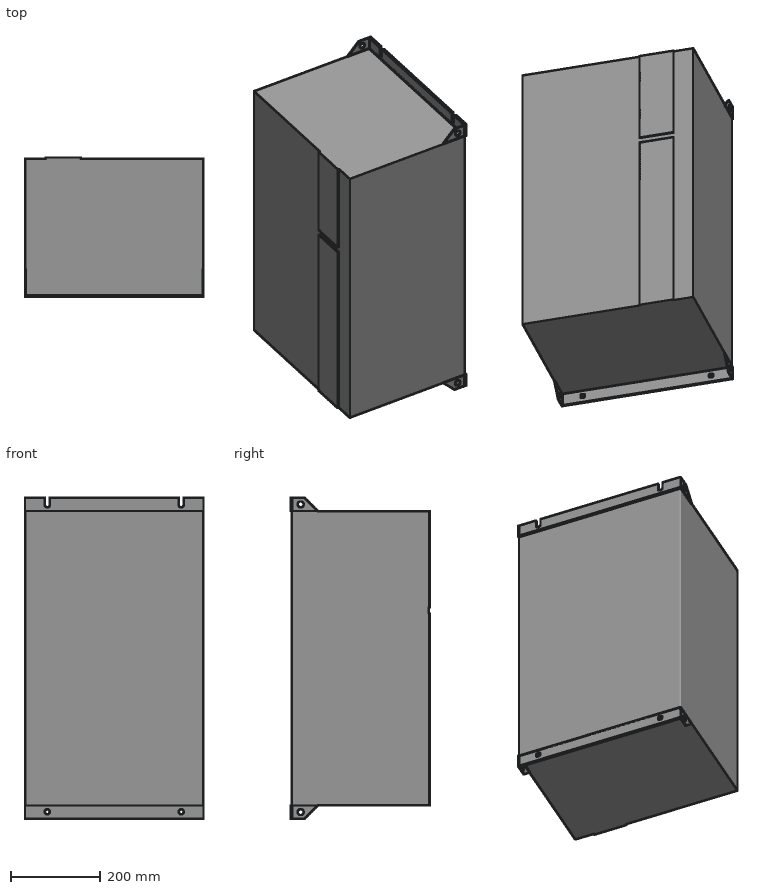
import cadquery as cq

width = 400.0
depth = 313.0
height = 720.0

flange_height = 30.0
cabinet_side_inset = 0.35
bend_radius = 3.0

strip_thickness = 3.0
strip_width = 79.0
strip_left_inset = 46.0
strip_gap = 13.0
strip_gap_from_top = 216.0

plate_thickness = 3.0
sheet_thickness = 2.0
ear_tip_depth = 32.0
ear_hole_diameter = 13.0
ear_hole_setback = 23.0

mount_spacing = 300.0
mount_diameter = 11.0
slot_depth = 21.5
mount_hole_setback = 16.0

front_y = -depth / 2
rear_y = depth / 2
body_front_y = front_y + plate_thickness
body_rear_y = rear_y - strip_thickness
flange_rear_y = body_front_y + sheet_thickness
top_z = height / 2
body_top_z = top_z - flange_height
flange_centre_z = top_z - flange_height / 2
half_width = width / 2
cabinet_half_width = half_width - cabinet_side_inset


def block(x_range, y_range, z_range):
    """Axis-aligned block from its limits along each axis."""
    sizes = [high - low for low, high in (x_range, y_range, z_range)]
    corner = (x_range[0], y_range[0], z_range[0])
    return cq.Workplane("XY").box(*sizes, centered=False).translate(corner)


def cabinet():
    """Closed box with bent vertical edges at the front."""
    body = block(
        (-cabinet_half_width, cabinet_half_width),
        (body_front_y, body_rear_y),
        (-body_top_z, body_top_z),
    )
    return body.edges("|Z and <Y").fillet(bend_radius)


def rear_strips():
    """Two thin strips on the rear wall, one above the other."""
    left = -half_width + strip_left_inset
    gap_top = body_top_z - strip_gap_from_top
    x_range = (left, left + strip_width)
    y_range = (body_rear_y, rear_y)
    upper = block(x_range, y_range, (gap_top, body_top_z))
    lower = block(x_range, y_range, (-body_top_z, gap_top - strip_gap))
    return upper.union(lower)


def bent_sheet():
    """Sheet behind the top plate, folded back at both ends into tapered ears with a hole."""
    ear_root_y = front_y + ear_tip_depth + flange_height
    ear_tip_y = front_y + ear_tip_depth
    ear_outline = [
        (body_front_y, body_top_z),
        (ear_root_y, body_top_z),
        (ear_tip_y, top_z),
        (body_front_y, top_z),
    ]
    side_profile = cq.Workplane("YZ").polyline(ear_outline).close()
    sheet = side_profile.extrude(half_width, both=True)
    sheet = sheet.edges("|Z and <Y").fillet(bend_radius)
    inner_half_width = half_width - sheet_thickness
    inside = block(
        (-inner_half_width, inner_half_width),
        (flange_rear_y, ear_root_y),
        (body_top_z, top_z),
    )
    ear_holes = (
        cq.Workplane("YZ")
        .center(front_y + ear_hole_setback, flange_centre_z)
        .circle(ear_hole_diameter / 2)
        .extrude(half_width, both=True)
    )
    return sheet.cut(inside).cut(ear_holes)


def top_flange():
    """Flat plate over the bent sheet, before its mounting openings are cut."""
    plate = block(
        (-half_width, half_width),
        (front_y, body_front_y),
        (body_top_z, top_z),
    )
    return plate.union(bent_sheet())


def mounting_holes(z):
    """Pair of round cutters through a flange at height z."""
    return (
        cq.Workplane("XZ", origin=(0, front_y, z))
        .pushPoints([(-mount_spacing / 2, 0), (mount_spacing / 2, 0)])
        .circle(mount_diameter / 2)
        .extrude(front_y - flange_rear_y)
    )


def mounting_slots():
    """Pair of round-ended cutters that open at the top edge."""
    radius = mount_diameter / 2
    end_z = top_z - slot_depth + radius
    slots = mounting_holes(end_z)
    for x in (-mount_spacing / 2, mount_spacing / 2):
        opening = block((x - radius, x + radius), (front_y, flange_rear_y), (end_z, top_z))
        slots = slots.union(opening)
    return slots


flange = top_flange()
upper_flange = flange.cut(mounting_slots())
lower_flange = flange.mirror("XY").cut(mounting_holes(mount_hole_setback - top_z))

result = cabinet().union(upper_flange).union(lower_flange).union(rear_strips())